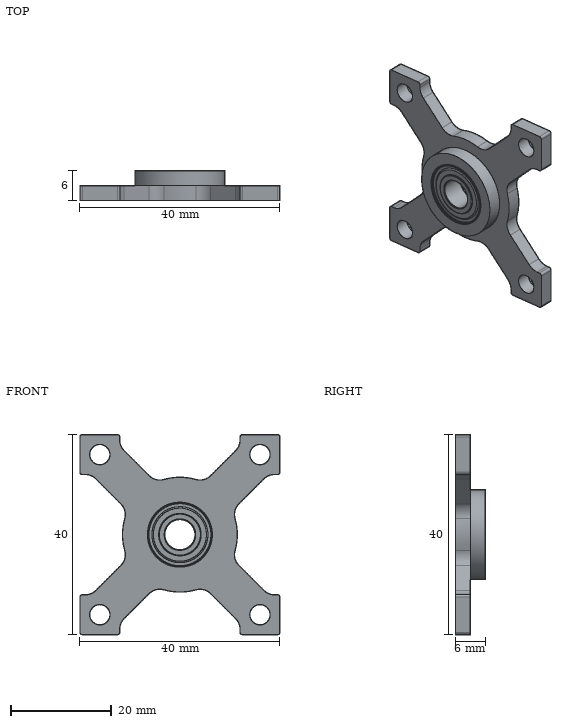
import cadquery as cq
import math

plate_size = 40.0
plate_thickness = 3.0
disc_radius = 11.5
arm_width = 8.0
lug_size = 8.0
lug_corner_radius = 0.5
root_fillet_radius = 3.0
screw_hole_diameter = 4.0

boss_diameter = 18.0
boss_height = 3.0
housing_depth = plate_thickness + boss_height

bearing_outer_diameter = 13.0
bearing_bore = 6.0
bearing_width = 5.0
bearing_front = housing_depth - bearing_width
outer_ring_inner_radius = 6.2
outer_ring_outer_chamfer = 0.15
outer_ring_inner_chamfer = 0.1
inner_ring_outer_radius = 4.25
inner_ring_bore_chamfer = 0.15
inner_ring_outer_chamfer = 0.15

land_recess = 0.2
land_radius = 5.3
slope_radius = 5.6
rim_recess = 0.4

half_size = plate_size / 2
lug_center = half_size - lug_size / 2


def disc(radius, front, depth):
    """Cylinder along Y that starts at y = front and runs backwards."""
    return cq.Workplane("XZ", origin=(0, front, 0)).circle(radius).extrude(-depth)


def revolve_about_y(profile):
    """Solid of revolution about Y from (radius, y) points."""
    return cq.Workplane("XY").polyline(profile).close().revolve(360, (0, 0, 0), (0, 1, 0))


def lug_centers():
    """Workplane on the front face holding the four lug centres."""
    spacing = 2 * lug_center
    return cq.Workplane("XZ").rect(spacing, spacing, forConstruction=True).vertices()


def make_plate():
    plate = disc(disc_radius, 0, plate_thickness)
    arm_length = 2 * lug_center * math.sqrt(2)
    for angle in (45, 135):
        arm = cq.Workplane("XZ").rect(arm_length, arm_width).extrude(-plate_thickness)
        plate = plate.union(arm.rotate((0, 0, 0), (0, 1, 0), angle))
    lugs = lug_centers().rect(lug_size, lug_size).extrude(-plate_thickness)
    plate = plate.union(lugs)

    lug_inner = half_size - lug_size
    tolerance = 0.01

    def is_lug_corner(edge):
        across = [abs(edge.Center().x), abs(edge.Center().z)]
        on_outside = max(across) > half_size - tolerance
        on_corner = min(across) > half_size - tolerance or abs(min(across) - lug_inner) < tolerance
        return on_outside and on_corner

    edges = plate.edges("|Y").vals()
    roots = [edge for edge in edges if not is_lug_corner(edge)]
    plate = plate.newObject(roots).fillet(root_fillet_radius)
    corners = [edge for edge in plate.edges("|Y").vals() if is_lug_corner(edge)]
    return plate.newObject(corners).fillet(lug_corner_radius)


def make_housing():
    boss = disc(boss_diameter / 2, plate_thickness, boss_height)
    screw_holes = lug_centers().circle(screw_hole_diameter / 2).extrude(-plate_thickness)
    bearing_seat = disc(bearing_outer_diameter / 2, 0, housing_depth)
    return make_plate().union(boss).cut(screw_holes).cut(bearing_seat)


def make_ring(inner, outer, inner_chamfer, outer_chamfer):
    """Bearing ring over the full bearing width with chamfers on all four edges."""
    front = bearing_front
    back = housing_depth
    return revolve_about_y([
        (inner + inner_chamfer, front),
        (outer - outer_chamfer, front),
        (outer, front + outer_chamfer),
        (outer, back - outer_chamfer),
        (outer - outer_chamfer, back),
        (inner + inner_chamfer, back),
        (inner, back - inner_chamfer),
        (inner, front + inner_chamfer),
    ])


def make_shield():
    """Filling between the rings, shaped alike on its front and back faces."""
    front = bearing_front
    back = housing_depth
    return revolve_about_y([
        (inner_ring_outer_radius, front + land_recess),
        (land_radius, front + land_recess),
        (slope_radius, front + rim_recess),
        (outer_ring_inner_radius, front + rim_recess),
        (outer_ring_inner_radius, back - rim_recess),
        (slope_radius, back - rim_recess),
        (land_radius, back - land_recess),
        (inner_ring_outer_radius, back - land_recess),
    ])


housing = make_housing()
outer_ring = make_ring(
    outer_ring_inner_radius,
    bearing_outer_diameter / 2,
    outer_ring_inner_chamfer,
    outer_ring_outer_chamfer,
)
inner_ring = make_ring(
    bearing_bore / 2,
    inner_ring_outer_radius,
    inner_ring_bore_chamfer,
    inner_ring_outer_chamfer,
)
shield = make_shield()

result = cq.Compound.makeCompound([
    housing.val(),
    outer_ring.val(),
    inner_ring.val(),
    shield.val(),
])